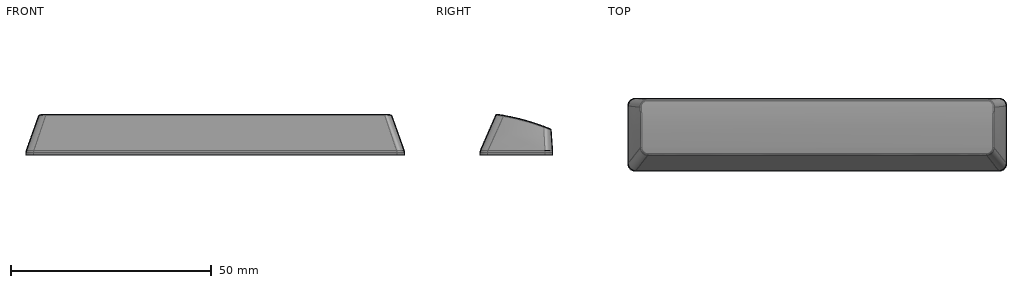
import cadquery as cq
import math

length = 94.4
width = 18.1
corner_radius = 1.9

skirt_height = 0.61

shoulder_top = 1.18
shoulder_end_inset = 0.1
shoulder_front_inset = 0.13

crown_front_y = -5.0
crown_front_z = 10.2
crown_back_y = 8.7
crown_back_z = 6.4
crown_sag = 0.5
crown_edge_radius = 0.4

wall_end_inset = 3.4
wall_clearance = 0.8

wall_foot_front_y = -width / 2 + shoulder_front_inset
wall_foot_back_y = width / 2
wall_foot_length = length - 2 * shoulder_end_inset


def rounded_section(plane, size_x, size_y):
    """Rounded rectangle centred on a plane."""
    outline = cq.Sketch().rect(size_x, size_y).vertices().fillet(corner_radius)
    return outline.moved(plane.location)


def ruled_solid(lower, upper):
    """Solid with straight-ruled sides between two sections."""
    return cq.Workplane("XY").placeSketch(lower, upper).loft(ruled=True)


def wall_top_point(crown_y, crown_z, foot_y):
    """Continue a wall upwards past the edge of the crown."""
    run_per_rise = (crown_y - foot_y) / (crown_z - shoulder_top)
    return crown_y + run_per_rise * wall_clearance, crown_z + wall_clearance


def wall_top_section():
    """Tilted section that ends the sloping walls above the crown."""
    front_y, front_z = wall_top_point(crown_front_y, crown_front_z, wall_foot_front_y)
    back_y, back_z = wall_top_point(crown_back_y, crown_back_z, wall_foot_back_y)
    run = back_y - front_y
    drop = front_z - back_z
    plane = cq.Plane(
        origin=(0, (front_y + back_y) / 2, (front_z + back_z) / 2),
        xDir=(1, 0, 0),
        normal=(0, drop, run),
    )
    return rounded_section(plane, length - 2 * wall_end_inset, math.hypot(run, drop))


def crown_envelope():
    """Long cylinder whose upper surface is the crown."""
    run = crown_back_y - crown_front_y
    drop = crown_front_z - crown_back_z
    chord = math.hypot(run, drop)
    radius = chord**2 / (8 * crown_sag) + crown_sag / 2
    centre_depth = radius - crown_sag
    centre_y = (crown_front_y + crown_back_y) / 2 - centre_depth * drop / chord
    centre_z = (crown_front_z + crown_back_z) / 2 - centre_depth * run / chord
    return (
        cq.Workplane("YZ", origin=(-length / 2, 0, 0))
        .center(centre_y, centre_z)
        .circle(radius)
        .extrude(length)
    )


footprint = rounded_section(cq.Plane(origin=(0, 0, 0)), length, width)
skirt_section = rounded_section(cq.Plane(origin=(0, 0, skirt_height)), length, width)
wall_foot_section = rounded_section(
    cq.Plane(origin=(0, (wall_foot_front_y + wall_foot_back_y) / 2, shoulder_top)),
    wall_foot_length,
    wall_foot_back_y - wall_foot_front_y,
)

skirt = cq.Workplane("XY").placeSketch(footprint).extrude(skirt_height)
shoulder = ruled_solid(skirt_section, wall_foot_section)

cap = ruled_solid(wall_foot_section, wall_top_section()).intersect(crown_envelope())
cap = cap.faces(">Z").edges().fillet(crown_edge_radius)

result = skirt.union(shoulder).union(cap)